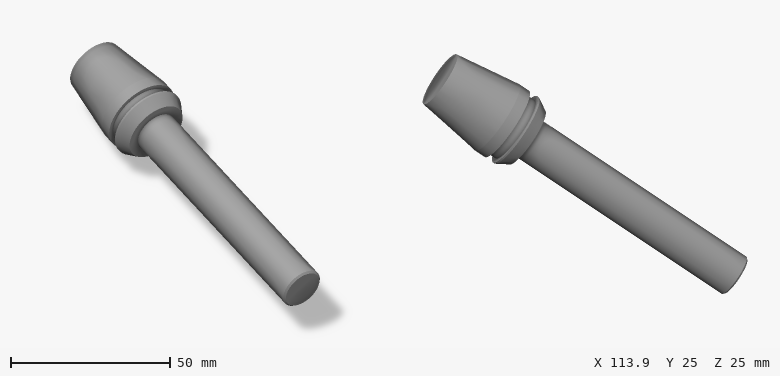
import cadquery as cq
import math

total_length = 113.93
head_diameter = 25.0
groove_diameter = 21.97
shank_diameter = 14.0

nose_cone_length = 22.0
groove_start = 25.8
groove_width = 3.1
collar_land_width = 0.6
back_cone_length = 4.1
nose_half_angle = 8.0
back_half_angle = 30.0

end_chamfer = 0.6

head_radius = head_diameter / 2
nose_radius = head_radius - nose_cone_length * math.tan(math.radians(nose_half_angle))
back_radius = head_radius - back_cone_length * math.tan(math.radians(back_half_angle))
groove_end = groove_start + groove_width
back_cone_start = groove_end + collar_land_width
head_length = back_cone_start + back_cone_length


def revolve_about_x(profile):
    """Turn a closed XZ profile a full revolution about the X axis."""
    return profile.revolve(360, (0, 0, 0), (1, 0, 0))


def make_head():
    """Tapered nose, cylindrical band, and a collar with a conical back."""
    profile = (
        cq.Workplane("XZ")
        .moveTo(0, 0)
        .lineTo(0, nose_radius)
        .lineTo(nose_cone_length, head_radius)
        .lineTo(back_cone_start, head_radius)
        .lineTo(head_length, back_radius)
        .lineTo(head_length, 0)
        .close()
    )
    return revolve_about_x(profile)


def make_groove():
    """Ring of material removed between the band and the collar."""
    groove_radius = groove_diameter / 2
    cutter_height = 2 * (head_radius - groove_radius)
    profile = (
        cq.Workplane("XZ")
        .moveTo(groove_start, groove_radius)
        .rect(groove_width, cutter_height, centered=False)
    )
    return revolve_about_x(profile)


def make_shank():
    """Plain cylinder behind the head, chamfered at its free end."""
    return (
        cq.Workplane("YZ", origin=(head_length, 0, 0))
        .circle(shank_diameter / 2)
        .extrude(total_length - head_length)
        .faces(">X")
        .chamfer(end_chamfer)
    )


result = make_head().cut(make_groove()).union(make_shank())